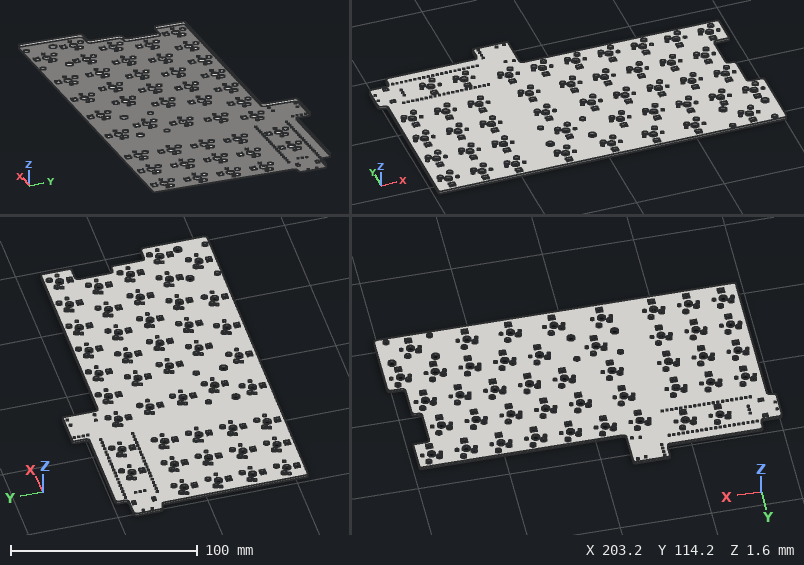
import cadquery as cq


board_length = 203.2
board_width = 114.2
board_thickness = 1.6

grid = board_length / 80
key_pitch = 7.5 * grid

key_edge_margin = 0.8
last_column = 9.5
first_key_x = board_length + key_edge_margin - (last_column + 0.5) * key_pitch
first_key_y = 9.5
controller_y = 90.5

left_columns = [0, 1, 2]
key_rows = [
    left_columns + [3.5, 4.875, 6.125, 7.375, 9],
    left_columns + [3.875, 5.5, 6.5, 7.5, 8.5, last_column],
    left_columns + [3.625, 5, 6, 7, 8, 9],
    left_columns + [3.5, 4.75, 5.75, 6.75, 7.75, 8.75],
    [3.25, 4.25, 5.25, 6.25, 7.25, 8.25, 9.25],
]
controller_key_columns = [1, 2]

switch_stem_diameter = 4.0
switch_post_diameter = 1.75
switch_contact_diameter = 3.0
light_length = 3.3
light_width = 2.8
light_drop = 5.7

left_stabilizer = (1, 3.875)
right_stabilizer = (0, 9)
stabilizer_half_span = 12.0
stabilizer_wire_diameter = 3.0
stabilizer_wire_offset = 7.0
stabilizer_foot_diameter = 4.0
stabilizer_foot_offset = 8.3

header_diameter = 1.0
controller_pins_per_row = 20
controller_row_spacing = 7 * grid
controller_first_x = 14.0
debug_pins = 3
debug_x = controller_first_x + grid
port_hole_x = 1.8
port_hole_spacing = 2 * grid
tab_slot_x = 9.0
tab_slot_length = 2.6
tab_slot_width = 1.6
tab_slot_spacing = 11.2

display_pins = 4
display_x = 67.7
display_top_y = 112.5
jack_hole_diameter = 1.3
jack_left_x = 77.8
jack_right_x = 82.3
jack_y = 104.6
jack_left_spacing = 14.0
jack_right_spacing = 15.2

wide_radius = 1.8
narrow_radius = 1.0
left_edge = 4.7
tab_bottom = 82.0
tab_top = 98.3
controller_left = 12.0
controller_top = 105.3
jack_tab_left = 64.8
jack_tab_right = 85.0
key_area_top = 94.0
top_row_right = 198.0
top_row_bottom = 77.0
fourth_row_right = 188.8
third_row_top = 56.0
third_row_right = 193.9
second_row_top = 37.0

outline = [
    (left_edge, 0, narrow_radius),
    (board_length, 0, wide_radius),
    (board_length, second_row_top, wide_radius),
    (third_row_right, second_row_top, wide_radius),
    (third_row_right, third_row_top, wide_radius),
    (fourth_row_right, third_row_top, wide_radius),
    (fourth_row_right, top_row_bottom, wide_radius),
    (top_row_right, top_row_bottom, 0),
    (top_row_right, key_area_top, narrow_radius),
    (jack_tab_right, key_area_top, wide_radius),
    (jack_tab_right, board_width, narrow_radius),
    (jack_tab_left, board_width, narrow_radius),
    (jack_tab_left, controller_top, wide_radius),
    (controller_left, controller_top, wide_radius),
    (controller_left, tab_top, wide_radius),
    (0, tab_top, wide_radius),
    (0, tab_bottom, wide_radius),
    (left_edge, tab_bottom, wide_radius),
]


def key_center(row, column):
    """Centre of the key in the given row and column, both in key pitches."""
    return (first_key_x + column * key_pitch, first_key_y + row * key_pitch)


def shifted(points, dx, dy):
    return [(x + dx, y + dy) for x, y in points]


def pin_line(x, y, count, dx, dy):
    """Points of a straight pin header starting at (x, y)."""
    return [(x + i * dx, y + i * dy) for i in range(count)]


def pair_about(x, y, spacing):
    """Two points one above the other, centred on (x, y)."""
    return [(x, y - spacing / 2), (x, y + spacing / 2)]


def rounded_plate(corners):
    plate = cq.Workplane("XY").polyline([(x, y) for x, y, _ in corners]).close().extrude(board_thickness)
    for x, y, radius in corners:
        if radius > 0:
            at_corner = cq.selectors.NearestToPointSelector((x, y, board_thickness / 2))
            plate = plate.edges("|Z").edges(at_corner).fillet(radius)
    return plate


def drill(plate, points, diameter):
    cutters = cq.Workplane("XY").pushPoints(points).circle(diameter / 2).extrude(board_thickness)
    return plate.cut(cutters, clean=False)


def cut_windows(plate, points, length, width):
    cutters = cq.Workplane("XY").pushPoints(points).rect(length, width).extrude(board_thickness)
    return plate.cut(cutters, clean=False)


def cut_switches(plate, centers):
    """Stem, two side posts, two contacts and a light window for every key."""
    plate = drill(plate, centers, switch_stem_diameter)
    posts = shifted(centers, -2 * grid, 0) + shifted(centers, 2 * grid, 0)
    plate = drill(plate, posts, switch_post_diameter)
    contacts = shifted(centers, -1.5 * grid, grid) + shifted(centers, grid, 2 * grid)
    plate = drill(plate, contacts, switch_contact_diameter)
    lights = shifted(centers, 0, -light_drop)
    return cut_windows(plate, lights, light_length, light_width)


def cut_stabilizer(plate, center, wire_side):
    """Wire holes on the wire_side (+1 above, -1 below) of a wide key, foot holes opposite."""
    sides = shifted([center], -stabilizer_half_span, 0) + shifted([center], stabilizer_half_span, 0)
    plate = drill(plate, shifted(sides, 0, wire_side * stabilizer_wire_offset), stabilizer_wire_diameter)
    return drill(plate, shifted(sides, 0, -wire_side * stabilizer_foot_offset), stabilizer_foot_diameter)


def cut_controller(plate):
    pins = []
    for _, row_y in pair_about(controller_first_x, controller_y, controller_row_spacing):
        pins += pin_line(controller_first_x, row_y, controller_pins_per_row, grid, 0)
    pins += pin_line(debug_x, controller_y - grid, debug_pins, 0, grid)
    pins += pair_about(port_hole_x, controller_y, port_hole_spacing)
    plate = drill(plate, pins, header_diameter)
    slots = pair_about(tab_slot_x, controller_y, tab_slot_spacing)
    return cut_windows(plate, slots, tab_slot_length, tab_slot_width)


def cut_display_and_jack(plate):
    plate = drill(plate, pin_line(display_x, display_top_y, display_pins, 0, -grid), header_diameter)
    jack_holes = pair_about(jack_left_x, jack_y, jack_left_spacing)
    jack_holes += pair_about(jack_right_x, jack_y, jack_right_spacing)
    return drill(plate, jack_holes, jack_hole_diameter)


key_centers = [key_center(row, column) for row, columns in enumerate(key_rows) for column in columns]
key_centers += [(key_center(0, column)[0], controller_y) for column in controller_key_columns]

board = rounded_plate(outline)
board = cut_switches(board, key_centers)
board = cut_stabilizer(board, key_center(*left_stabilizer), 1)
board = cut_stabilizer(board, key_center(*right_stabilizer), -1)
board = cut_controller(board)
result = cut_display_and_jack(board)